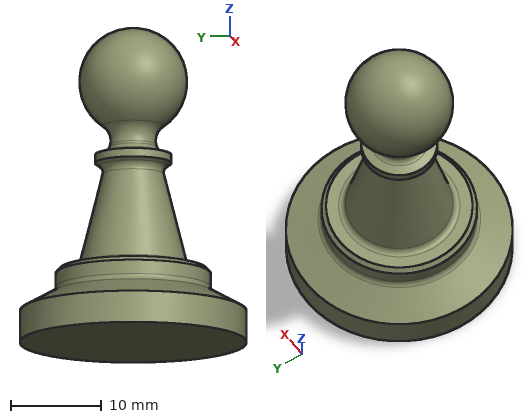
import cadquery as cq

base_radius = 25.0 / 2
base_height = 3.5

platform_radius = 17.13 / 2
platform_bottom = 5.68
platform_top = 8.18
platform_chamfer = 0.5

taper_bottom_radius = 6.1
taper_slope = 0.254

overall_height = 35.09
ball_radius = 5.95
ball_center = overall_height - ball_radius

collar_radius = 8.38 / 2
collar_bottom = 20.04
collar_top = 20.98
collar_under_slope = 0.7
collar_top_slope = 0.295

shoulder_fillet = 0.75
taper_foot_fillet = 0.75
collar_under_fillet = 0.87
collar_top_fillet = 0.75
ball_fillet = 2.0


def taper_radius(height):
    """Radius of the long taper at a given height."""
    return taper_bottom_radius - taper_slope * (height - platform_top)


rim_gap_bottom = collar_radius - taper_radius(collar_bottom)
collar_under_height = collar_bottom - collar_under_slope * rim_gap_bottom / (1 + collar_under_slope * taper_slope)
rim_gap_top = collar_radius - taper_radius(collar_top)
collar_over_height = collar_top + collar_top_slope * rim_gap_top / (1 - collar_top_slope * taper_slope)


def ball_seam_height():
    """Height where the taper enters the ball from below."""
    axis_radius = taper_radius(ball_center)
    a = 1 + taper_slope**2
    b = 2 * axis_radius * taper_slope
    c = axis_radius**2 - ball_radius**2
    drop = (-b + (b**2 - 4 * a * c) ** 0.5) / (2 * a)
    return ball_center - drop


def make_sharp_profile():
    """Half section from the axis outwards, before its inside corners are rounded."""
    seam_height = ball_seam_height()
    return (
        cq.Workplane("XZ")
        .lineTo(base_radius, 0)
        .lineTo(base_radius, base_height)
        .lineTo(platform_radius, platform_bottom)
        .lineTo(platform_radius, platform_top - platform_chamfer)
        .lineTo(platform_radius - platform_chamfer, platform_top)
        .lineTo(taper_bottom_radius, platform_top)
        .lineTo(taper_radius(collar_under_height), collar_under_height)
        .lineTo(collar_radius, collar_bottom)
        .lineTo(collar_radius, collar_top)
        .lineTo(taper_radius(collar_over_height), collar_over_height)
        .lineTo(taper_radius(seam_height), seam_height)
        .threePointArc((ball_radius, ball_center), (0, overall_height))
        .close()
    )


def round_corner(profile, radius, height, fillet_radius):
    """Round the profile corner that lies at the given radius and height."""
    corner = cq.Vector(radius, 0, height)
    nearest = min(profile.Vertices(), key=lambda vertex: (vertex.Center() - corner).Length)
    return profile.fillet2D(fillet_radius, [nearest])


def make_part():
    """Turn the half section, with every inside corner blended, about the Z axis."""
    profile = cq.Face.makeFromWires(make_sharp_profile().val())
    blended_corners = [
        (platform_radius, platform_bottom, shoulder_fillet),
        (taper_bottom_radius, platform_top, taper_foot_fillet),
        (taper_radius(collar_under_height), collar_under_height, collar_under_fillet),
        (taper_radius(collar_over_height), collar_over_height, collar_top_fillet),
        (taper_radius(ball_seam_height()), ball_seam_height(), ball_fillet),
    ]
    for radius, height, fillet_radius in blended_corners:
        profile = round_corner(profile, radius, height, fillet_radius)
    half_section = cq.Workplane("XZ").add(profile.outerWire()).toPending()
    return half_section.revolve(360, (0, 0, 0), (0, 1, 0))


result = make_part()